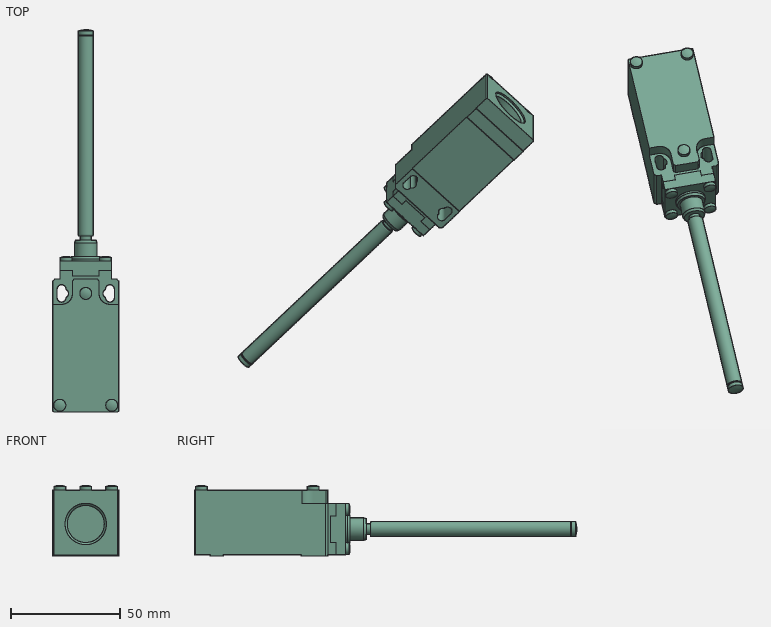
import cadquery as cq
import math


housing_width = 30.3
housing_length = 61.1
housing_top = 30.3
pad_height = 0.6
rear_corner_chamfer = 1.1
entry_corner_chamfer = 0.5

rear_pad_start = 48.9
front_pad_start = 7.1
front_pad_length = 6.1

head_size = 23.7
head_bottom = pad_height
head_top = head_bottom + head_size
axis_z = head_bottom + head_size / 2
neck_end = 64.9
head_end = 69.2
key_width = 12.15
key_depth = 2.6

block_width = key_width
block_corner_chamfer = 0.9
slot_x = 11.1
slot_y = 54.4
slot_width = 4.0
slot_length = 7.9
slot_relief_x = 10.0
slot_relief_radius = 2.05
step_radius = slot_x - block_width / 2

screw_radius = 2.75
screw_height = 1.65
screw_dome = 0.55
cover_screw_x = 11.9
cover_screw_front_y = 3.1
head_screw_offset = 9.0

entry_radius = 8.5
entry_mouth_radius = 9.5
entry_z = 14.8
entry_rim_depth = 0.7
entry_cone_length = 1.0
entry_depth = 6.0

flange_radius = 6.9
flange_height = 2.2
flange_chamfer_axial = 1.2
flange_chamfer_radial = 0.5
collar_radius = 5.25
collar_end = 78.8
collar_chamfer_axial = 1.2
collar_chamfer_radial = 0.5

stem_radius = 2.55
rod_radius = 3.5
rod_start = 80.7
rod_chamfer_axial = 0.6
rod_chamfer_radial = 0.15
rod_end = 175.4
rod_dome = 0.6
groove_start = 172.4
groove_width = 0.5
groove_depth = 0.15


def box(x_size, y_start, y_end, z_start, z_end):
    """Block centred on X between the given Y and Z limits."""
    return cq.Workplane("XY").box(
        x_size, y_end - y_start, z_end - z_start, centered=(True, False, False)
    ).translate((0, y_start, z_start))


def revolve_about_rod_axis(profile):
    """Turn a closed (radius, Y) profile about the rod axis."""
    return profile.close().revolve(360, (0, 0, 0), (0, 1, 0)).translate((0, 0, axis_z))


def dome_arc(radius, base, rise):
    """Middle point and apex of a shallow spherical dome's half profile."""
    sphere_radius = (radius**2 + rise**2) / (2 * rise)
    middle_radius = radius / 2
    drop = sphere_radius - math.sqrt(sphere_radius**2 - middle_radius**2)
    apex = base + rise
    return (middle_radius, apex - drop), (0, apex)


def screw_head():
    """Domed screw head standing on the XY plane."""
    return (
        cq.Workplane("XZ")
        .lineTo(screw_radius, 0)
        .lineTo(screw_radius, screw_height)
        .threePointArc(*dome_arc(screw_radius, screw_height, screw_dome))
        .close()
        .revolve(360, (0, 0, 0), (0, 1, 0))
    )


def corner_step(side):
    """Volume removed above a rear corner, with a round end concentric with the slot."""
    inner_x = side * block_width / 2
    centre_x = side * slot_x
    diagonal = step_radius * math.sqrt(0.5)
    outer_x = side * housing_width
    return (
        cq.Workplane("XY", origin=(0, 0, head_top))
        .moveTo(inner_x, housing_length)
        .lineTo(inner_x, slot_y)
        .threePointArc(
            (centre_x - side * diagonal, slot_y - diagonal),
            (centre_x, slot_y - step_radius),
        )
        .lineTo(outer_x, slot_y - step_radius)
        .lineTo(outer_x, housing_length)
        .close()
        .extrude(housing_top - head_top)
    )


def mounting_slot(side):
    """Vertical through slot with a round relief on its inner side."""
    slot = (
        cq.Workplane("XY")
        .center(side * slot_x, slot_y)
        .slot2D(slot_length, slot_width, 90)
        .extrude(housing_top)
    )
    relief = (
        cq.Workplane("XY")
        .center(side * slot_relief_x, slot_y)
        .circle(slot_relief_radius)
        .extrude(housing_top)
    )
    return slot.union(relief)


def cable_entry():
    """Blind round entry whose wider rim tapers down to the bore."""
    return (
        cq.Workplane("XY")
        .lineTo(entry_mouth_radius, 0)
        .lineTo(entry_mouth_radius, entry_rim_depth)
        .lineTo(entry_radius, entry_rim_depth + entry_cone_length)
        .lineTo(entry_radius, entry_depth)
        .lineTo(0, entry_depth)
        .close()
        .revolve(360, (0, 0, 0), (0, 1, 0))
        .translate((0, 0, entry_z))
    )


def head_key():
    """Cross-shaped key that locates the head in the neck."""
    key_start = neck_end - key_depth
    upright = box(key_width, key_start, neck_end, head_bottom, head_top)
    crossbar = box(head_size, key_start, neck_end, axis_z - key_width / 2, axis_z + key_width / 2)
    return upright.union(crossbar)


def make_housing():
    """Switch box with its pads, slots, cable entry, keyed neck and cover screws."""
    body = box(housing_width, 0, housing_length, pad_height, housing_top)
    body = body.union(box(housing_width, rear_pad_start, housing_length, 0, pad_height))
    front_pad_end = front_pad_start + front_pad_length
    body = body.union(box(housing_width, front_pad_start, front_pad_end, 0, pad_height))
    body = body.edges("|Z and >Y").chamfer(rear_corner_chamfer)
    body = body.edges("|Z and <Y").chamfer(entry_corner_chamfer)
    for side in (-1, 1):
        body = body.cut(corner_step(side))
    body = body.edges("|Z and >Y").edges(">Z").chamfer(block_corner_chamfer)
    for side in (-1, 1):
        body = body.cut(mounting_slot(side))
    neck = box(head_size, housing_length, neck_end, head_bottom, head_top)
    body = body.union(neck).cut(head_key()).cut(cable_entry())
    cover_screws = [
        (0, slot_y),
        (-cover_screw_x, cover_screw_front_y),
        (cover_screw_x, cover_screw_front_y),
    ]
    for x, y in cover_screws:
        body = body.union(screw_head().translate((x, y, housing_top)))
    return body


def rod_bore():
    """Clearance for the rod stem, which seats on the head block."""
    return revolve_about_rod_axis(
        cq.Workplane("XY")
        .moveTo(0, head_end)
        .lineTo(stem_radius, head_end)
        .lineTo(stem_radius, collar_end)
        .lineTo(0, collar_end)
    )


def make_head():
    """Keyed head block with its four screws, flange and bored guide collar."""
    block = box(head_size, neck_end, head_end, head_bottom, head_top).union(head_key())
    flange_end = head_end + flange_height
    collar = revolve_about_rod_axis(
        cq.Workplane("XY")
        .moveTo(0, head_end)
        .lineTo(flange_radius, head_end)
        .lineTo(flange_radius, flange_end - flange_chamfer_axial)
        .lineTo(flange_radius - flange_chamfer_radial, flange_end)
        .lineTo(collar_radius, flange_end)
        .lineTo(collar_radius, collar_end - collar_chamfer_axial)
        .lineTo(collar_radius - collar_chamfer_radial, collar_end)
        .lineTo(0, collar_end)
    )
    head = block.union(collar)
    for x in (-head_screw_offset, head_screw_offset):
        for z in (-head_screw_offset, head_screw_offset):
            screw = screw_head().rotate((0, 0, 0), (1, 0, 0), -90)
            head = head.union(screw.translate((x, head_end, axis_z + z)))
    return head.cut(rod_bore())


def make_rod():
    """Rod with a narrower stem in the collar, a shallow groove and a domed tip."""
    tip_base = rod_end - rod_dome
    groove_radius = rod_radius - groove_depth
    groove_end = groove_start + groove_width
    return revolve_about_rod_axis(
        cq.Workplane("XY")
        .moveTo(0, head_end)
        .lineTo(stem_radius, head_end)
        .lineTo(stem_radius, rod_start)
        .lineTo(rod_radius - rod_chamfer_radial, rod_start)
        .lineTo(rod_radius, rod_start + rod_chamfer_axial)
        .lineTo(rod_radius, groove_start)
        .lineTo(groove_radius, groove_start)
        .lineTo(groove_radius, groove_end)
        .lineTo(rod_radius, groove_end)
        .lineTo(rod_radius, tip_base)
        .threePointArc(*dome_arc(rod_radius, tip_base, rod_dome))
    )


housing = make_housing()
head = make_head()
rod = make_rod()

result = cq.Compound.makeCompound([housing.val(), head.val(), rod.val()])